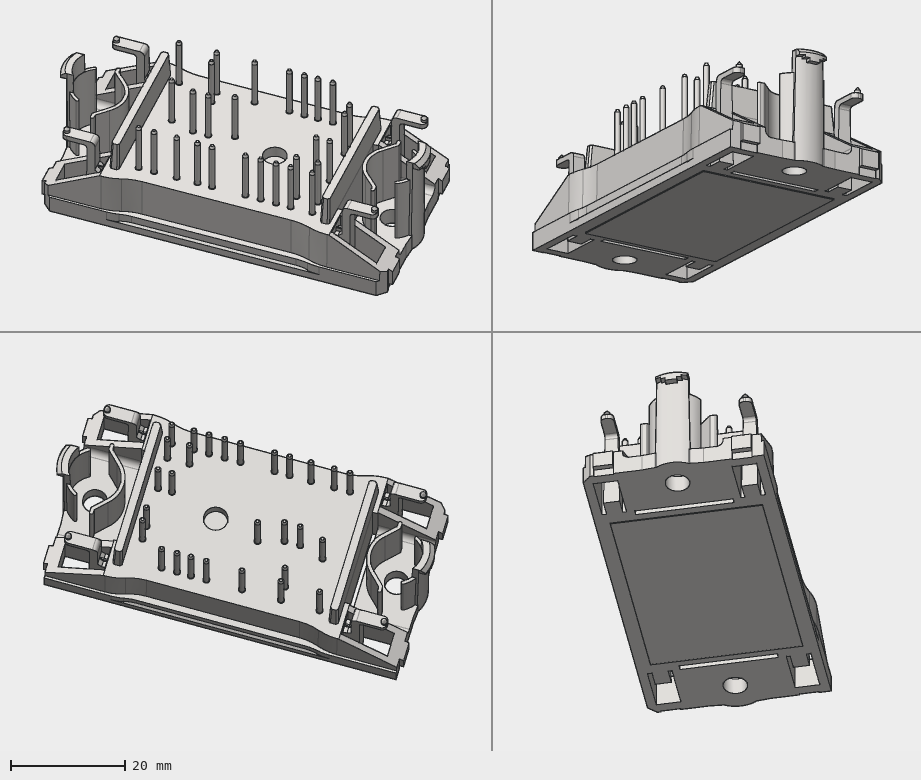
import cadquery as cq
import math


half_overall_length = 34.2
pad_height = 0.2
recess_floor_z = 1.7
ledge_z = 3.55
deck_z = 11.2
curved_wall_z = 15.7
barrier_z = 16.7
hook_top_z = 20.85
pin_top_z = 21.3

pad_length = 38.3
pad_width = 27.15
base_half_length = 32.1
base_half_width = 32.5 / 2
corner_chamfer = 1.5
upper_end_y = 15.8
upper_middle_y = 14.6
upper_curve_start_x = 13.95
upper_curve_end_x = 21.15
upper_draft = 1.3
recess_depth = 0.5
recess_middle_y = base_half_width - recess_depth
recess_curve_start_x = 15.4
recess_curve_end_x = 19.9
recess_strip_half_length = 17.65
recess_strip_height = 0.35
deck_half_length = 21.5
tab_end_x = 32.8
tab_inner_y = 10.6
tab_outer_y = 14.1
tab_end_z = 4.8
tab_relief_depth = 0.2
flank_wide_y = 5.5
flank_height = 0.2

platform_half_width = 8.95
platform_fillet = 1.2
slot_outer_x = 21.55
slot_half_width = 8.75
window_inner_x = 21.6
window_outer_x = 30.0
window_inner_y = 10.2
window_outer_y = 14.6

screw_x = 27.5
hole_diameter = 4.3
guard_radius = 4.9
guard_angle = 48
guard_thickness = 0.7
guard_tail_dx = 1.2
guard_tail_start_y = 5.75
guard_tail_end_y = 6.5
hook_inner_radius = 4.65
hook_root_radius = 4.1
hook_outer_radius = 5.6
hook_arm_radius = 4.9
hook_arm_angle = 61
hook_arm_thickness = 0.6
hook_head_radius = half_overall_length - screw_x
hook_bottom_half_width = 3.15
hook_top_half_width = 2.8
hook_head_steps = {18.55: 1.0, 19.15: 1.85, 19.55: hook_top_half_width}
hook_nose_z = 20.05

contact_y = 12.3
contact_tip_x = 29.4
contact_front_x = 24.6
contact_back_x = 23.1
contact_arm_z = 15.5
contact_top_z = 16.55
contact_foot_x = 22.4
contact_foot_z = 9.6
contact_foot_rise = 0.7
contact_gusset_thickness = 0.3
contact_bottom_width = 2.9
contact_top_width = 2.25
contact_bend_radius = 0.95
contact_inner_radius = 0.7
nub_diameter = 1.1
nub_x = 28.8
nub_shoulder_z = 17.1
nub_top_z = 17.8

barrier_x = 19.7
barrier_bottom_thickness = 1.7
barrier_top_thickness = 1.45
slot_inner_x = barrier_x + barrier_bottom_thickness / 2
barrier_bottom_length = 26.25
barrier_top_length = 25.05
barrier_chamfer = 0.35

pin_diameter = 1.0
collar_diameter = 1.2
collar_height = 0.1
pin_tip_height = 0.55
deck_hole_x = 5.5
deck_hole_depth = 2.2
pin_rows = {
    11.4: [-16.75, -9.7, -2.6, 3.9, 6.7, 9.2, 12.05],
    8.8: [-9.7],
    7.2: [16.75],
    4.7: [16.75],
    2.0: [-14.6, -2.75],
    0.7: [-10.1, -7.25],
    -2.7: [14.2, 16.75],
    -8.55: [12.7, 16.75],
    -11.35: [-15.7, -12.85, -8.6, -4.7, -2.0, 4.25, 7.1, 10.0, 12.7, 16.75],
}


def block(x0, x1, y0, y1, z0, z1):
    """Box between opposite corner coordinates."""
    return cq.Workplane("XY").box(x1 - x0, y1 - y0, z1 - z0, centered=False).translate((x0, y0, z0))


def both_ends(end_part):
    """The +X part together with its mirror image at -X."""
    return end_part.union(end_part.mirror("YZ"))


def waisted_outline(z, half_length, end_y, middle_y, start_x, end_x):
    """Plan outline narrowed along its middle, joined by S-curves of two tangent arcs."""
    run = (end_x - start_x) / 2
    rise = (end_y - middle_y) / 2
    radius = (run**2 + rise**2) / (2 * rise)
    mid_x = start_x + run
    mid_y = middle_y + rise
    half_angle = math.asin(run / radius) / 2
    arc_dx = radius * math.sin(half_angle)
    arc_dy = radius * (1 - math.cos(half_angle))

    curve = [
        (start_x, middle_y),
        (start_x + arc_dx, middle_y + arc_dy),
        (mid_x, mid_y),
        (end_x - arc_dx, end_y - arc_dy),
        (end_x, end_y),
    ]
    outline = cq.Workplane("XY").workplane(offset=z).moveTo(-start_x, middle_y)
    for x_sign, y_sign, outward in ((1, 1, True), (1, -1, False), (-1, -1, True), (-1, 1, False)):
        points = [(x_sign * x, y_sign * y) for x, y in curve]
        corner = (x_sign * half_length, y_sign * end_y)
        if outward:
            outline = outline.lineTo(*points[0])
        else:
            points.reverse()
            outline = outline.lineTo(*corner).lineTo(*points[0])
        outline = outline.threePointArc(points[1], points[2]).threePointArc(points[3], points[4])
        if outward:
            outline = outline.lineTo(*corner)
    return outline.close()


def tapered_slab(start_x, y, bottom_width, top_width, z0, z1):
    """Slab running outward in +X that narrows upward in Y, for trimming end features."""
    return (
        cq.Workplane("YZ")
        .workplane(offset=start_x)
        .polyline([
            (y - bottom_width / 2, z0),
            (y + bottom_width / 2, z0),
            (y + top_width / 2, z1),
            (y - top_width / 2, z1),
        ])
        .close()
        .extrude(half_overall_length - start_x)
    )


def make_housing():
    """Base, drafted upper body and end tabs, trimmed by the end slopes."""
    base = block(
        -base_half_length, base_half_length, -base_half_width, base_half_width, pad_height, ledge_z
    )
    waist = waisted_outline(
        recess_floor_z, tab_end_x, base_half_width, recess_middle_y,
        recess_curve_start_x, recess_curve_end_x,
    ).extrude(ledge_z - recess_floor_z)
    below_recess = block(
        -tab_end_x, tab_end_x, -base_half_width, base_half_width, pad_height, recess_floor_z
    )
    base = base.intersect(waist.union(below_recess))

    strip = (
        cq.Workplane("YZ")
        .polyline([
            (recess_middle_y, recess_floor_z),
            (base_half_width, recess_floor_z),
            (recess_middle_y, recess_floor_z + recess_strip_height),
        ])
        .close()
        .extrude(recess_strip_half_length, both=True)
    )
    base = base.union(strip).union(strip.mirror("XZ"))

    upper = waisted_outline(
        ledge_z, tab_end_x, upper_end_y, upper_middle_y, upper_curve_start_x, upper_curve_end_x
    ).extrude(deck_z - ledge_z, taper=upper_draft)
    upper = upper.intersect(
        block(-base_half_length, base_half_length, -base_half_width, base_half_width, ledge_z, deck_z)
    )

    plan = (
        cq.Workplane("XY")
        .rect(2 * base_half_length, 2 * base_half_width)
        .extrude(deck_z)
        .edges("|Z and <Y")
        .chamfer(corner_chamfer)
    )
    housing = base.union(upper).intersect(plan)

    end_x = base_half_length
    for side in (-1, 1):
        y_min, y_max = sorted((side * tab_inner_y, side * tab_outer_y))
        housing = housing.union(block(-tab_end_x, tab_end_x, y_min, y_max, recess_floor_z, deck_z))
        relief = block(end_x - tab_relief_depth, end_x, y_min, y_max, pad_height, recess_floor_z)
        housing = housing.cut(both_ends(relief))

    flank = (
        cq.Workplane("XY")
        .workplane(offset=pad_height)
        .polyline([
            (end_x, -flank_wide_y),
            (end_x + flank_height, -hook_bottom_half_width),
            (end_x + flank_height, hook_bottom_half_width),
            (end_x, flank_wide_y),
        ])
        .close()
        .extrude(ledge_z - pad_height)
    )
    housing = housing.union(both_ends(flank))

    slope_profile = (
        cq.Workplane("XZ")
        .polyline([
            (-tab_end_x, 0),
            (tab_end_x, 0),
            (tab_end_x, tab_end_z),
            (deck_half_length, deck_z),
            (-deck_half_length, deck_z),
            (-tab_end_x, tab_end_z),
        ])
        .close()
        .extrude(base_half_width, both=True)
    )
    pad = block(-pad_length / 2, pad_length / 2, -pad_width / 2, pad_width / 2, 0, pad_height)
    return housing.intersect(slope_profile).union(pad)


def make_end_openings():
    """Platform pocket, slot, contact windows and screw hole of the +X end."""
    pocket = (
        block(slot_outer_x, tab_end_x, -platform_half_width, platform_half_width, ledge_z, deck_z)
        .edges("|X and <Z")
        .fillet(platform_fillet)
    )
    slot = block(slot_inner_x, slot_outer_x, -slot_half_width, slot_half_width, 0, deck_z)
    hole = cq.Workplane("XY").center(screw_x, 0).circle(hole_diameter / 2).extrude(ledge_z)
    window = block(window_inner_x, window_outer_x, window_inner_y, window_outer_y, 0, deck_z)
    return pocket.union(slot).union(hole).union(window).union(window.mirror("XZ"))


def make_guard_wall():
    """Inner curved wall: an arc around the screw with a straight tail at each end."""
    angle = math.radians(guard_angle)
    arc_end_x = screw_x - guard_radius * math.cos(angle)
    arc_end_y = guard_radius * math.sin(angle)
    tail_x = screw_x - guard_tail_dx
    return (
        cq.Workplane("XY")
        .workplane(offset=ledge_z)
        .moveTo(tail_x, guard_tail_end_y)
        .lineTo(tail_x, guard_tail_start_y)
        .lineTo(arc_end_x, arc_end_y)
        .threePointArc((screw_x - guard_radius, 0), (arc_end_x, -arc_end_y))
        .lineTo(tail_x, -guard_tail_start_y)
        .lineTo(tail_x, -guard_tail_end_y)
        .offset2D(guard_thickness / 2)
        .extrude(curved_wall_z - ledge_z)
    )


def make_hook():
    """Snap hook: a tall curved tower with an overhanging head, flanked by lower arms."""
    tower = (
        cq.Workplane("XZ")
        .polyline([
            (hook_root_radius, pad_height),
            (hook_outer_radius, pad_height),
            (hook_outer_radius, hook_top_z),
            (hook_inner_radius, hook_top_z),
            (hook_inner_radius, ledge_z),
            (hook_root_radius, ledge_z),
        ])
        .close()
        .revolve(360, (0, 0), (0, 1))
        .translate((screw_x, 0, 0))
    )
    tower = tower.intersect(
        tapered_slab(
            screw_x, 0, 2 * hook_bottom_half_width, 2 * hook_top_half_width, pad_height, hook_top_z
        )
    )

    bevel = hook_top_z - hook_nose_z
    head = (
        cq.Workplane("XZ")
        .polyline([
            (hook_inner_radius, min(hook_head_steps)),
            (hook_head_radius, min(hook_head_steps)),
            (hook_head_radius, hook_nose_z),
            (hook_head_radius - bevel, hook_top_z),
            (hook_inner_radius, hook_top_z),
        ])
        .close()
        .revolve(360, (0, 0), (0, 1))
        .translate((screw_x, 0, 0))
    )
    for step_z, half_width in hook_head_steps.items():
        step = block(screw_x, half_overall_length, -half_width, half_width, step_z, hook_top_z)
        tower = tower.union(head.intersect(step))

    angle = math.radians(hook_arm_angle)
    end_x = hook_arm_radius * math.cos(angle)
    end_y = hook_arm_radius * math.sin(angle)
    arms = (
        cq.Workplane("XY")
        .moveTo(end_x, end_y)
        .threePointArc((hook_arm_radius, 0), (end_x, -end_y))
        .offset2D(hook_arm_thickness / 2)
        .extrude(barrier_z - ledge_z)
        .translate((screw_x, 0, ledge_z))
    )
    return tower.union(arms)


def make_contact(y):
    """Bent contact: foot on the housing end wall, upright leg, arm and pointed nub."""
    contact = (
        cq.Workplane("XZ")
        .polyline([
            (window_inner_x, pad_height),
            (contact_front_x, pad_height),
            (contact_front_x, contact_arm_z),
            (contact_tip_x, contact_arm_z),
            (contact_tip_x, contact_top_z),
            (contact_back_x, contact_top_z),
            (contact_back_x, contact_foot_z + contact_foot_rise),
            (contact_foot_x, contact_foot_z),
            (window_inner_x, contact_foot_z),
        ])
        .close()
        .extrude(contact_bottom_width / 2, both=True)
        .translate((0, y, 0))
    )
    outer_bend = cq.selectors.NearestToPointSelector((contact_back_x, y, contact_top_z))
    inner_bend = cq.selectors.NearestToPointSelector((contact_front_x, y, contact_arm_z))
    contact = contact.edges(outer_bend).fillet(contact_bend_radius)
    contact = contact.edges(inner_bend).fillet(contact_inner_radius)
    contact = contact.intersect(
        tapered_slab(0, y, contact_bottom_width, contact_top_width, pad_height, contact_top_z)
    )
    contact = contact.faces(">X").edges("not |Y").fillet(contact_bend_radius)

    radius = nub_diameter / 2
    nub = (
        cq.Workplane("XZ")
        .polyline([
            (0, contact_arm_z),
            (radius, contact_arm_z),
            (radius, nub_shoulder_z),
            (0, nub_top_z),
        ])
        .close()
        .revolve(360, (0, 0), (0, 1))
        .translate((nub_x, y, 0))
    )
    gusset = block(
        window_inner_x, contact_back_x,
        y - contact_gusset_thickness / 2, y + contact_gusset_thickness / 2,
        contact_foot_z, contact_foot_z + contact_foot_rise,
    )
    return contact.union(gusset).union(nub)


def make_barrier():
    """Upright wall across the deck, narrowing upward, with chamfered ends."""
    return (
        cq.Workplane("XY")
        .workplane(offset=deck_z)
        .center(barrier_x, 0)
        .rect(barrier_bottom_thickness, barrier_bottom_length)
        .workplane(offset=barrier_z - deck_z)
        .rect(barrier_top_thickness, barrier_top_length)
        .loft()
        .edges("not (|X or |Y)")
        .chamfer(barrier_chamfer)
    )


def make_pin():
    """Pin on a short collar, with a tapered tip, standing at the origin of the deck."""
    radius = pin_diameter / 2
    shoulder_z = pin_top_z - pin_tip_height
    return (
        cq.Workplane("XZ")
        .polyline([
            (0, deck_z),
            (collar_diameter / 2, deck_z),
            (collar_diameter / 2, deck_z + collar_height),
            (radius, deck_z + collar_height),
            (radius, shoulder_z),
            (radius / 2, pin_top_z),
            (0, pin_top_z),
        ])
        .close()
        .revolve(360, (0, 0), (0, 1))
    )


end_features = make_guard_wall().union(make_hook()).union(make_barrier())
for contact_side in (-1, 1):
    end_features = end_features.union(make_contact(contact_side * contact_y))

result = make_housing().cut(both_ends(make_end_openings())).union(both_ends(end_features))

deck_hole = (
    cq.Workplane("XY")
    .center(deck_hole_x, 0)
    .circle(hole_diameter / 2)
    .extrude(deck_hole_depth)
    .translate((0, 0, deck_z - deck_hole_depth))
)
result = result.cut(deck_hole)

pin = make_pin()
for pin_y, pin_xs in pin_rows.items():
    for pin_x in pin_xs:
        result = result.union(pin.translate((pin_x, pin_y, 0)))